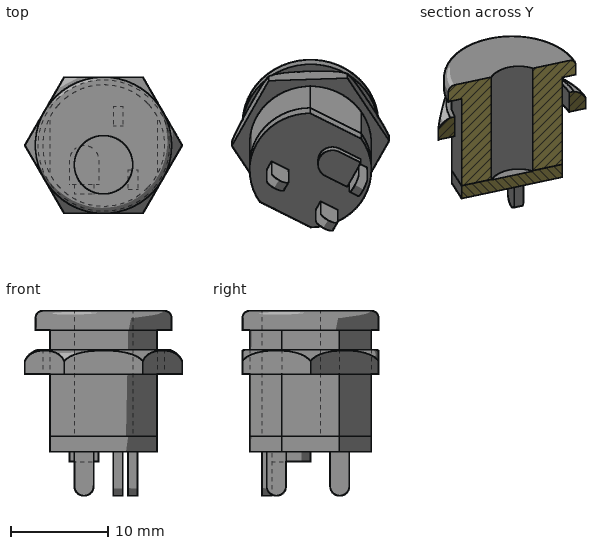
import cadquery as cq
import math

FLANGE_HEIGHT = 2.0
NECK_HEIGHT = 2.0
NUT_HEIGHT = 2.5
BARREL_LENGTH = 10.9
BASE_HEIGHT = 1.6
BASE_TOP = -BARREL_LENGTH
BASE_BOTTOM = BASE_TOP - BASE_HEIGHT

FLANGE_DIAMETER = 14.0
FLANGE_FILLET = 0.75
BARREL_DIAMETER = 12.5
BARREL_FLATS_WIDTH = 11.0
SOCKET_DIAMETER = 6.0
SOCKET_Y = -2.0

NUT_ACROSS_FLATS = 14.0
NUT_ACROSS_CORNERS = NUT_ACROSS_FLATS / math.cos(math.radians(30))
NUT_TOP_CIRCLE_DIAMETER = 13.5
NUT_CORNER_DROP = 1.17
NUT_CROWN_BULGE = 0.19

TERMINAL_WIDTH = 2.0
TERMINAL_THICKNESS = 1.0
TERMINAL_LENGTH = 4.5

SIDE_TERMINAL_CENTERS = [(1.5, 3.0), (3.0, -3.5)]

FRONT_TERMINAL_X = -2.0
FRONT_TERMINAL_Y = -4.5
FOOT_WIDTH = 3.0
FOOT_HEIGHT = 1.0
FOOT_END_Y = 0.0


def flatted_cylinder(bottom, height):
    """Barrel section: a round with two flats facing -X and +X."""
    round_bar = cq.Workplane("XY").workplane(offset=bottom).circle(BARREL_DIAMETER / 2).extrude(height)
    flats = (
        cq.Workplane("XY")
        .workplane(offset=bottom)
        .rect(BARREL_FLATS_WIDTH, BARREL_DIAMETER)
        .extrude(height)
    )
    return round_bar.intersect(flats)


def make_housing():
    """Flanged barrel with an off-centre socket that is closed below by the base."""
    flange = (
        cq.Workplane("XY")
        .circle(FLANGE_DIAMETER / 2)
        .extrude(FLANGE_HEIGHT)
        .faces(">Z")
        .edges()
        .fillet(FLANGE_FILLET)
    )
    socket = (
        cq.Workplane("XY")
        .workplane(offset=BASE_TOP)
        .center(0, SOCKET_Y)
        .circle(SOCKET_DIAMETER / 2)
        .extrude(BARREL_LENGTH + FLANGE_HEIGHT)
    )
    return flange.union(flatted_cylinder(BASE_TOP, BARREL_LENGTH)).cut(socket)


def make_base():
    """Plate that closes the bottom of the barrel."""
    return flatted_cylinder(BASE_BOTTOM, BASE_HEIGHT)


def make_nut():
    """Hexagonal nut with a round bore and upper corners turned to a convex crown."""
    top = -NECK_HEIGHT
    bottom = top - NUT_HEIGHT
    corner_radius = NUT_ACROSS_CORNERS / 2
    hexagon = (
        cq.Workplane("XY")
        .workplane(offset=bottom)
        .polygon(6, NUT_ACROSS_CORNERS)
        .extrude(NUT_HEIGHT)
    )
    crown = (
        cq.Workplane("XZ")
        .moveTo(0, bottom)
        .lineTo(corner_radius, bottom)
        .lineTo(corner_radius, top - NUT_CORNER_DROP)
        .sagittaArc((NUT_TOP_CIRCLE_DIAMETER / 2, top), -NUT_CROWN_BULGE)
        .lineTo(0, top)
        .close()
        .revolve(360, (0, 0, 0), (0, 1, 0))
    )
    bore = cq.Workplane("XY").workplane(offset=bottom).circle(BARREL_DIAMETER / 2).extrude(NUT_HEIGHT)
    return hexagon.intersect(crown).cut(bore)


def terminal_blade(plane):
    """Flat blade with a round tip, hanging below the base and centred on the plane's origin."""
    half_width = TERMINAL_WIDTH / 2
    tip_center = BASE_BOTTOM - TERMINAL_LENGTH + half_width
    return (
        cq.Workplane(plane)
        .moveTo(-half_width, BASE_BOTTOM)
        .lineTo(-half_width, tip_center)
        .threePointArc((0, tip_center - half_width), (half_width, tip_center))
        .lineTo(half_width, BASE_BOTTOM)
        .close()
        .extrude(TERMINAL_THICKNESS / 2, both=True)
    )


def make_side_terminal(center_x, center_y):
    """Plain blade facing along X."""
    return terminal_blade("YZ").translate((center_x, center_y, 0))


def make_front_terminal():
    """Blade facing along Y, with a round-ended foot lying against the base behind it."""
    blade = terminal_blade("XZ").translate((FRONT_TERMINAL_X, FRONT_TERMINAL_Y, 0))
    half_width = FOOT_WIDTH / 2
    left = FRONT_TERMINAL_X - half_width
    right = FRONT_TERMINAL_X + half_width
    front_y = FRONT_TERMINAL_Y + TERMINAL_THICKNESS / 2
    arc_center_y = FOOT_END_Y - half_width
    foot = (
        cq.Workplane("XY")
        .workplane(offset=BASE_BOTTOM - FOOT_HEIGHT)
        .moveTo(left, front_y)
        .lineTo(left, arc_center_y)
        .threePointArc((FRONT_TERMINAL_X, FOOT_END_Y), (right, arc_center_y))
        .lineTo(right, front_y)
        .close()
        .extrude(FOOT_HEIGHT)
    )
    return blade.union(foot)


housing = make_housing()
base = make_base()
nut = make_nut()
front_terminal = make_front_terminal()
side_terminals = [make_side_terminal(x, y) for x, y in SIDE_TERMINAL_CENTERS]

result = cq.Compound.makeCompound(
    [
        housing.val(),
        base.val(),
        nut.val(),
        front_terminal.val(),
        *[terminal.val() for terminal in side_terminals],
    ]
)